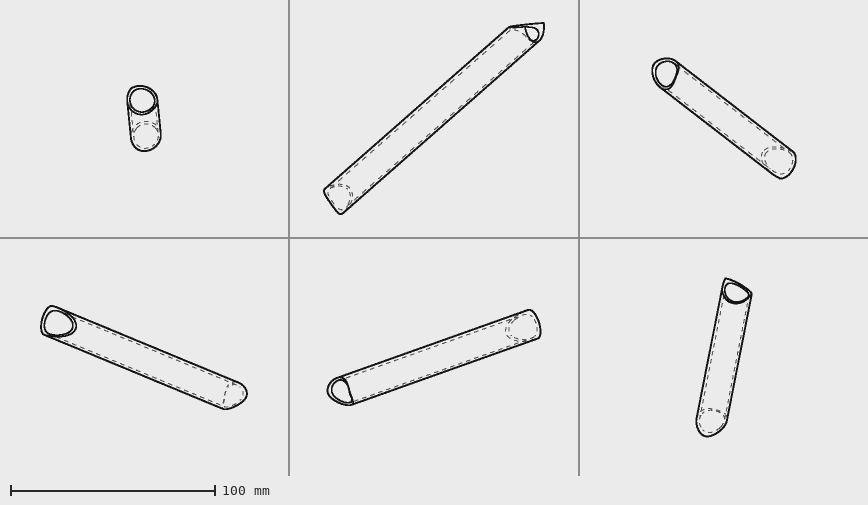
import cadquery as cq
import math

tube_outer_diameter = 14.9
tube_wall = 1.4
axis_direction = cq.Vector(0.445, -0.649, 1.0).normalized()
axis_middle = cq.Vector(-0.65, 0.07, 0.0)

upper_saddle_diameter = tube_outer_diameter
upper_saddle_offset = 81.4
upper_saddle_direction = cq.Vector(0, 1, 0)

lower_saddle_diameter = 17.3
lower_saddle_offset = 83.2
lower_saddle_shift = 0.48
lower_saddle_heading = math.radians(2.0)
lower_saddle_drop = math.radians(5.0)
lower_saddle_direction = cq.Vector(
    math.cos(lower_saddle_heading) * math.cos(lower_saddle_drop),
    math.sin(lower_saddle_heading) * math.cos(lower_saddle_drop),
    -math.sin(lower_saddle_drop),
)

cutter_length = 8 * tube_outer_diameter
end_allowance = tube_outer_diameter


def point_on_axis(distance):
    return axis_middle + axis_direction * distance


def rod(centre, direction, diameter, length):
    start = centre - direction * (length / 2)
    return cq.Workplane(obj=cq.Solid.makeCylinder(diameter / 2, length, start, direction))


def tube():
    length = upper_saddle_offset + lower_saddle_offset + 2 * end_allowance
    centre = point_on_axis((upper_saddle_offset - lower_saddle_offset) / 2)
    bore_diameter = tube_outer_diameter - 2 * tube_wall
    outside = rod(centre, axis_direction, tube_outer_diameter, length)
    bore = rod(centre, axis_direction, bore_diameter, length)
    return outside.cut(bore)


def upper_saddle():
    centre = point_on_axis(upper_saddle_offset)
    return rod(centre, upper_saddle_direction, upper_saddle_diameter, cutter_length)


def lower_saddle():
    sideways = axis_direction.cross(lower_saddle_direction).normalized()
    centre = point_on_axis(-lower_saddle_offset) + sideways * lower_saddle_shift
    return rod(centre, lower_saddle_direction, lower_saddle_diameter, cutter_length)


pieces = tube().cut(upper_saddle()).cut(lower_saddle()).solids().vals()
result = cq.Workplane(obj=max(pieces, key=lambda piece: piece.Volume()))